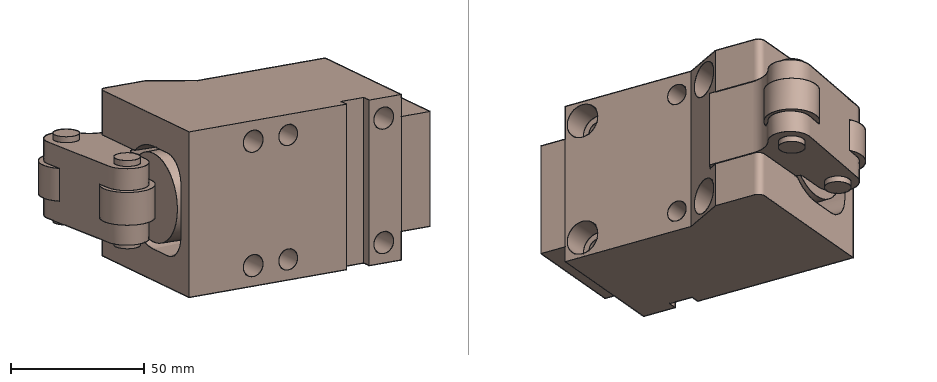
import cadquery as cq
import math


TOTAL_LENGTH = 132.6

HOUSING_WIDTH = 65.0
HOUSING_LENGTH = 93.1
HOUSING_HEIGHT = 65.0
STEP_DEPTH = 10.0
RAMP_START_Y = 20.0
RAMP_END_Y = 37.1
CORNER_RADIUS = 2.8

BOSS_LENGTH = 14.9
BOSS_SIZE = 45.1
BOSS_SIDE_INSET = 3.6

GROOVE_DEPTH = 4.0
GROOVE_WIDTH = 10.0
GROOVE_REAR_INSET = 14.0

BOLT_HOLE_DIAMETER = 8.6
COUNTERBORE_DIAMETER = 13.5
COUNTERBORE_FLOOR_X = STEP_DEPTH + 11.3
BOLT_HOLE_YS = (28.1, 85.4)
DOWEL_HOLE_DIAMETER = 8.2
DOWEL_HOLE_Y = 43.5
HOLE_ROW_Z = 24.4

PLUNGER_X = 39.1
PLUNGER_FRONT_RADIUS = 17.4
PLUNGER_REAR_RADIUS = 17.8
PLUNGER_FLAT_X = 25.7
POCKET_RADIUS = 20.2
POCKET_SIDE_X = 59.0
POCKET_CORNER_RADIUS = 9.8
POCKET_DRAFT = 0.8

LEVER_HEIGHT = 30.0
LEVER_FACE_X = -0.4
FOOT_INNER_X = 24.5
FOOT_END_Y = 23.1
FOOT_END_RADIUS = 1.2
FOOT_END_GAP = 0.9
FOOT_SLOT_DEPTH = 30.5
POCKET_DEPTH = FOOT_END_Y + FOOT_END_GAP
ARM_REAR_Y = -2.1
ARM_END_RADIUS = 8.4
OUTER_END = (-1.2, -13.9)
INNER_END = (37.1, ARM_REAR_Y - ARM_END_RADIUS)
ROLLER_RADIUS = 10.5
ROLLER_HEIGHT = 12.9
PIN_RADIUS = 5.0
PIN_LENGTH = 34.6
FRONT_REACH = TOTAL_LENGTH - HOUSING_LENGTH - BOSS_LENGTH
ROLLER_CENTRES = ((-0.5, ROLLER_RADIUS - FRONT_REACH), (37.5, -ROLLER_RADIUS))


def polar(centre, radius, angle):
    return (centre[0] + radius * math.cos(angle), centre[1] + radius * math.sin(angle))


def upright(radius, height, centre):
    """Cylinder along Z, centred on Z = 0."""
    return cq.Workplane("XY").center(*centre).circle(radius).extrude(height / 2, both=True)


def cross_hole(diameter, end_x, y, z):
    """Round cutter along X, from the lever side up to end_x."""
    return cq.Workplane("YZ", origin=(0, y, z)).circle(diameter / 2).extrude(end_x)


def make_lever():
    blend_start = (LEVER_FACE_X, CORNER_RADIUS)
    across = OUTER_END[0] - LEVER_FACE_X
    along = OUTER_END[1] - CORNER_RADIUS
    blend_radius = (across**2 + along**2 - ARM_END_RADIUS**2) / (2 * (ARM_END_RADIUS - across))
    blend_centre = (LEVER_FACE_X - blend_radius, CORNER_RADIUS)
    blend_angle = math.atan2(along, across + blend_radius)
    blend_end = polar(blend_centre, blend_radius, blend_angle)
    blend_mid = polar(blend_centre, blend_radius, blend_angle / 2)

    edge_angle = math.atan2(INNER_END[1] - OUTER_END[1], INNER_END[0] - OUTER_END[0])
    edge_normal = edge_angle - math.pi / 2
    outer_start_angle = blend_angle + math.pi
    outer_mid_angle = (outer_start_angle + edge_normal + 2 * math.pi) / 2
    inner_mid_angle = (edge_normal + math.pi / 2) / 2

    profile = (
        cq.Workplane("XY", origin=(0, 0, -LEVER_HEIGHT / 2))
        .moveTo(LEVER_FACE_X, FOOT_END_Y)
        .lineTo(*blend_start)
        .threePointArc(blend_mid, blend_end)
        .threePointArc(
            polar(OUTER_END, ARM_END_RADIUS, outer_mid_angle),
            polar(OUTER_END, ARM_END_RADIUS, edge_normal),
        )
        .lineTo(*polar(INNER_END, ARM_END_RADIUS, edge_normal))
        .threePointArc(
            polar(INNER_END, ARM_END_RADIUS, inner_mid_angle),
            polar(INNER_END, ARM_END_RADIUS, math.pi / 2),
        )
        .lineTo(FOOT_INNER_X - ARM_REAR_Y, ARM_REAR_Y)
        .radiusArc((FOOT_INNER_X, 0), -ARM_REAR_Y)
        .lineTo(FOOT_INNER_X, FOOT_END_Y)
        .close()
    )
    lever = profile.extrude(LEVER_HEIGHT)
    lever = lever.faces(">Y").edges("|Z").edges("<X").fillet(FOOT_END_RADIUS)
    for centre in ROLLER_CENTRES:
        lever = lever.union(upright(ROLLER_RADIUS, ROLLER_HEIGHT, centre))
        lever = lever.union(upright(PIN_RADIUS, PIN_LENGTH, centre))
    return lever


def make_plunger():
    """Tapered plunger standing on the pocket floor, with a flat that clears the lever foot."""
    plunger = (
        cq.Workplane("XZ", origin=(PLUNGER_X, 0, 0))
        .circle(PLUNGER_FRONT_RADIUS)
        .workplane(offset=-POCKET_DEPTH)
        .circle(PLUNGER_REAR_RADIUS)
        .loft()
    )
    foot_side = cq.Workplane("XY").box(
        PLUNGER_FLAT_X, POCKET_DEPTH, HOUSING_HEIGHT, centered=(False, False, True)
    )
    return plunger.cut(foot_side)


def pocket_outline(plane, inset):
    """D-shaped outline: half circle towards the lever foot, rounded corners on the other side."""
    radius = POCKET_RADIUS - inset
    side = POCKET_SIDE_X - PLUNGER_X - inset
    corner = POCKET_CORNER_RADIUS - inset
    return (
        plane.moveTo(0, radius)
        .threePointArc((-radius, 0), (0, -radius))
        .lineTo(side - corner, -radius)
        .radiusArc((side, corner - radius), -corner)
        .lineTo(side, radius - corner)
        .radiusArc((side - corner, radius), -corner)
        .close()
    )


def make_pocket():
    mouth = pocket_outline(cq.Workplane("XZ", origin=(PLUNGER_X, 0, 0)), 0)
    floor = mouth.workplane(offset=-POCKET_DEPTH)
    return pocket_outline(floor, POCKET_DRAFT).loft(ruled=True)


def make_foot_slot():
    """Slot in the housing for the lever foot; it opens into the pocket."""
    return cq.Workplane("XY").box(
        FOOT_SLOT_DEPTH, POCKET_DEPTH, LEVER_HEIGHT, centered=(False, False, True)
    )


def make_block():
    """Housing outline with the set-back rear part, the ramp and the rounded front corner."""
    return (
        cq.Workplane("XY", origin=(0, 0, -HOUSING_HEIGHT / 2))
        .moveTo(0, 0)
        .lineTo(HOUSING_WIDTH, 0)
        .lineTo(HOUSING_WIDTH, HOUSING_LENGTH)
        .lineTo(STEP_DEPTH, HOUSING_LENGTH)
        .lineTo(STEP_DEPTH, RAMP_END_Y)
        .lineTo(0, RAMP_START_Y)
        .close()
        .extrude(HOUSING_HEIGHT)
        .edges("|Z and <X and <Y")
        .fillet(CORNER_RADIUS)
    )


def make_boss():
    centre_x = HOUSING_WIDTH - BOSS_SIDE_INSET - BOSS_SIZE / 2
    centre_y = HOUSING_LENGTH + BOSS_LENGTH / 2
    return cq.Workplane("XY", origin=(centre_x, centre_y, 0)).box(BOSS_SIZE, BOSS_LENGTH, BOSS_SIZE)


def make_groove():
    centre_x = HOUSING_WIDTH - GROOVE_DEPTH / 2
    centre_y = HOUSING_LENGTH - GROOVE_REAR_INSET - GROOVE_WIDTH / 2
    return cq.Workplane("XY", origin=(centre_x, centre_y, 0)).box(
        GROOVE_DEPTH, GROOVE_WIDTH, HOUSING_HEIGHT
    )


def make_housing():
    housing = make_block().union(make_boss()).cut(make_groove())
    for z in (-HOLE_ROW_Z, HOLE_ROW_Z):
        housing = housing.cut(cross_hole(DOWEL_HOLE_DIAMETER, HOUSING_WIDTH, DOWEL_HOLE_Y, z))
        for y in BOLT_HOLE_YS:
            housing = housing.cut(cross_hole(BOLT_HOLE_DIAMETER, HOUSING_WIDTH, y, z))
            housing = housing.cut(cross_hole(COUNTERBORE_DIAMETER, COUNTERBORE_FLOOR_X, y, z))
    return housing.cut(make_foot_slot()).cut(make_pocket())


lever = make_lever()
plunger = make_plunger()
housing = make_housing()

result = cq.Compound.makeCompound([housing.val(), plunger.val(), lever.val()])